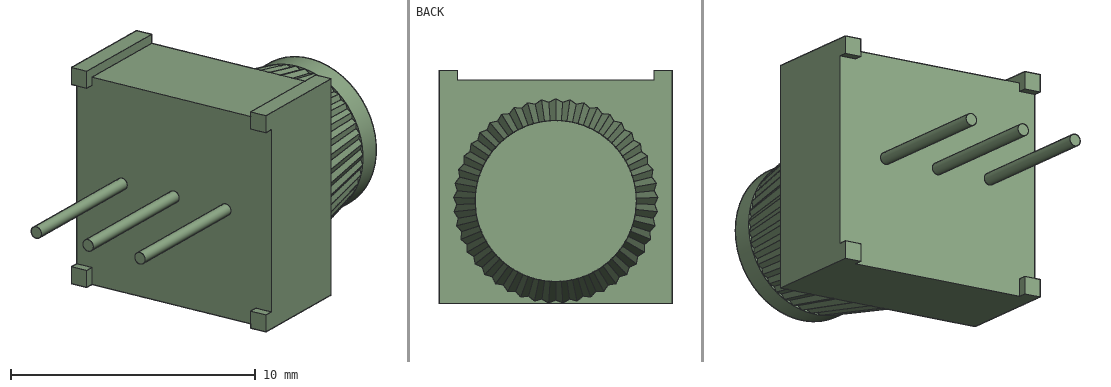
import cadquery as cq
import math

body_side = 9.53
body_depth = 4.44
rail_width = 0.75
top_step = 0.4
foot_height = 0.4

pin_count = 3
pin_diameter = 0.5
pin_pitch = 2.54

knob_offset = -0.57
base_radius = 4.18
rim_radius = 3.3
taper_length = 4.59
rim_length = 1.0
flute_count = 45
flute_depth = 0.135

overall_length = 16.38
pin_length = overall_length - body_depth - taper_length - rim_length


def plane_facing_knob(y, z=0.0):
    """Plane at depth y and height z, normal along +Y, with its local Y pointing up."""
    return cq.Plane(origin=(0, y, z), xDir=(-1, 0, 0), normal=(0, 1, 0))


def make_body():
    block = cq.Workplane(plane_facing_knob(0)).rect(body_side, body_side).extrude(body_depth)

    foot_spacing = body_side - rail_width
    feet = (
        cq.Workplane(plane_facing_knob(-foot_height))
        .rect(foot_spacing, foot_spacing, forConstruction=True)
        .vertices()
        .rect(rail_width, rail_width)
        .extrude(foot_height)
    )

    top_recess = (
        cq.Workplane("XY")
        .box(body_side - 2 * rail_width, body_depth, top_step, centered=(True, False, False))
        .translate((0, 0, body_side / 2 - top_step))
    )
    return block.union(feet).cut(top_recess)


def flute_outline(tip_radius):
    """Corner points of a ring of V-shaped flutes, with one tip pointing straight up."""
    valley_radius = tip_radius * (1 - flute_depth / base_radius)
    half_step = math.pi / flute_count
    points = []
    for corner in range(2 * flute_count):
        radius = tip_radius if corner % 2 == 0 else valley_radius
        angle = corner * half_step
        points.append((radius * math.sin(angle), radius * math.cos(angle)))
    return points


def make_knob():
    taper = (
        cq.Workplane(plane_facing_knob(body_depth, knob_offset))
        .polyline(flute_outline(base_radius))
        .close()
        .workplane(offset=taper_length)
        .polyline(flute_outline(rim_radius))
        .close()
        .loft(ruled=True)
    )
    rim = (
        cq.Workplane(plane_facing_knob(body_depth + taper_length, knob_offset))
        .circle(rim_radius)
        .extrude(rim_length)
    )
    return taper.union(rim)


def make_pin(x):
    return (
        cq.Workplane(plane_facing_knob(-pin_length))
        .circle(pin_diameter / 2)
        .extrude(pin_length)
        .translate((x, 0, 0))
    )


body = make_body()
knob = make_knob()
pins = [make_pin((index - (pin_count - 1) / 2) * pin_pitch) for index in range(pin_count)]

result = cq.Compound.makeCompound([body.val(), knob.val(), *[pin.val() for pin in pins]])